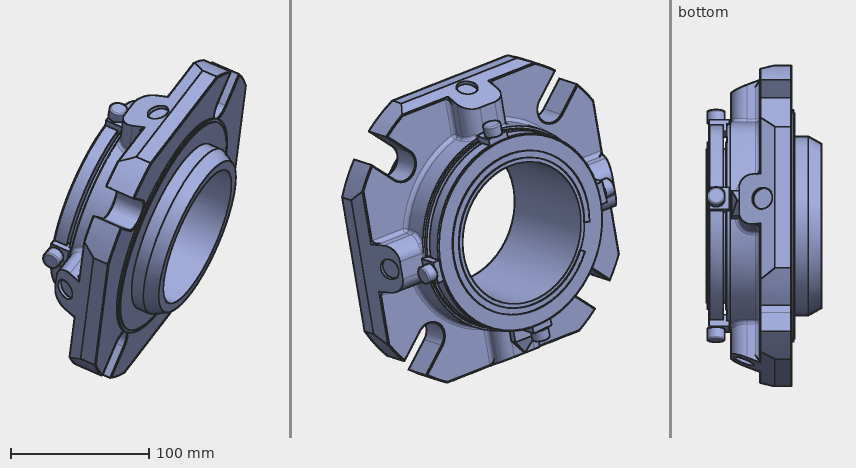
import cadquery as cq
import math

TOTAL_LENGTH = 83.5
BORE_DIAMETER = 104.8
SIDES = 4

SLEEVE_DIAMETER = 111.0
RING_CLIP_DIAMETER = 121.0
RING_CLIP_FRONT = 0.7
RING_CLIP_GAP_START = 180.0
RING_CLIP_GAP_ANGLE = 21.0

COLLAR_DIAMETER = 146.1
COLLAR_FRONT = 1.6
COLLAR_BACK = 12.3
COLLAR_CHAMFER = 1.0
CORE_DIAMETER = 112.0
COVER_DIAMETER = 147.5
COVER_FRONT = 14.9
COVER_STEP_DIAMETER = 121.0
COVER_STEP_LENGTH = 0.7

BLOCK_TILT = -15.0
BLOCK_OUTER_RADIUS = 77.8
BLOCK_INNER_RADIUS = 68.8
BLOCK_WIDTH = 16.5
BLOCK_FRONT = 2.0
BLOCK_BACK = 16.7
SCREW_DIAMETER = 13.0
SCREW_X = 7.0
SCREW_TOP_RADIUS = 85.7
SCREW_EDGE_FILLET = 1.2
SCREW_SEAT_DEPTH = 0.5

HUB_DIAMETER = 151.0
HUB_FRONT = 17.5

FLANGE_TILT = -11.0
FLANGE_FRONT = 38.5
FLANGE_BACK = 61.8
FLANGE_HALF_WIDTH = 108.3
FLANGE_CORNER_RADIUS = 120.0
SLANT_ANGLE = 21.0
SLANT_BACK = 49.5
FLANGE_EDGE_CHAMFER = 0.7

SLOT_TILT = 45.0
SLOT_WIDTH = 23.0
SLOT_CENTRE_RADIUS = 94.8

ROOT_FILLET = 3.0
EDGE_TOLERANCE = 0.05
BOSS_HALF_WIDTH = 18.4
BOSS_CORNER_RADIUS = 11.5
BOSS_FRONT = 17.7
LOW_BOSS_QUARTER = 2
FAR_PORT_QUARTERS = (0, 2)
LOW_BOSS_FRONT = 23.7
LOW_BOSS_CORNER_RADIUS = 9.3
PORT_DIAMETER = 15.5
PORT_DEPTH = 2.8
PORT_X = 27.2
FAR_PORT_X = 40.5

ARROW_FRONT = 18.4
ARROW_HALF_WIDTH = 9.3
ARROW_ROOT_RADIUS = 73.2
ARROW_SHOULDER_RADIUS = 85.7
ARROW_TIP_RADIUS = 97.5
ARROW_TIP_FRONT = 22.3

STEP_DIAMETER = 168.0
STEP_BACK = 63.2
LIP_DIAMETER = 163.5
LIP_BACK = 64.0
SPIGOT_DIAMETER = 129.9
SPIGOT_TAPER_START = 73.6
SPIGOT_END_DIAMETER = 119.0


def disc(diameter, x_start, x_end):
    """Solid cylinder about the X axis."""
    face = cq.Workplane("YZ", origin=(x_start, 0, 0))
    return face.circle(diameter / 2).extrude(x_end - x_start)


def turned(shape, tilt, quarter):
    """Copy of a feature built on the +Z side, turned about X."""
    return shape.rotate((0, 0, 0), (1, 0, 0), tilt + 360 / SIDES * quarter)


def slant_radius(x):
    """Distance from the axis of the slanted side face at the given X."""
    return FLANGE_HALF_WIDTH - (SLANT_BACK - x) * math.tan(math.radians(SLANT_ANGLE))


def outboard_rings():
    sleeve = disc(SLEEVE_DIAMETER, 0, COLLAR_FRONT)
    clip = disc(RING_CLIP_DIAMETER, RING_CLIP_FRONT, COLLAR_FRONT)
    gap_start = math.radians(RING_CLIP_GAP_START)
    gap_end = math.radians(RING_CLIP_GAP_START + RING_CLIP_GAP_ANGLE)
    gap = (
        cq.Workplane("YZ")
        .moveTo(0, 0)
        .lineTo(RING_CLIP_DIAMETER * math.cos(gap_start), RING_CLIP_DIAMETER * math.sin(gap_start))
        .lineTo(RING_CLIP_DIAMETER * math.cos(gap_end), RING_CLIP_DIAMETER * math.sin(gap_end))
        .close()
        .extrude(COLLAR_FRONT)
    )
    collar = disc(COLLAR_DIAMETER, COLLAR_FRONT, COLLAR_BACK).faces("<X").edges().chamfer(COLLAR_CHAMFER)
    core = disc(CORE_DIAMETER, COLLAR_FRONT, HUB_FRONT)
    cover = disc(COVER_DIAMETER, COVER_FRONT, HUB_FRONT)
    cover_step = disc(COVER_STEP_DIAMETER, COVER_FRONT - COVER_STEP_LENGTH, COVER_FRONT)
    return clip.cut(gap).union(sleeve).union(core).union(collar).union(cover).union(cover_step)


def setting_block():
    """Block on the +Z side that rides on the collar, reaches back to the cover and carries a screw head."""
    length = BLOCK_BACK - BLOCK_FRONT
    height = BLOCK_OUTER_RADIUS - BLOCK_INNER_RADIUS
    block = cq.Workplane("XY").box(length, BLOCK_WIDTH, height, centered=(False, True, False))
    block = block.translate((BLOCK_FRONT, 0, BLOCK_INNER_RADIUS))
    block = block.intersect(disc(2 * BLOCK_OUTER_RADIUS, 0, HUB_FRONT))
    block = block.cut(disc(COLLAR_DIAMETER - 2 * COLLAR_CHAMFER, COLLAR_FRONT, COLLAR_BACK))
    seat = BLOCK_OUTER_RADIUS - SCREW_SEAT_DEPTH
    screw = (
        cq.Workplane("XY", origin=(SCREW_X, 0, seat))
        .circle(SCREW_DIAMETER / 2)
        .extrude(SCREW_TOP_RADIUS - seat)
        .faces(">Z")
        .edges()
        .fillet(SCREW_EDGE_FILLET)
    )
    return block.union(screw)


def boss(front, corner_radius):
    """Boss on the +Z side, with round front corners and a slanted outer end."""
    flat_half = BOSS_HALF_WIDTH - corner_radius
    block = (
        cq.Workplane("XY")
        .moveTo(front, -flat_half)
        .lineTo(front, flat_half)
        .radiusArc((front + corner_radius, BOSS_HALF_WIDTH), corner_radius)
        .lineTo(SLANT_BACK, BOSS_HALF_WIDTH)
        .lineTo(SLANT_BACK, -BOSS_HALF_WIDTH)
        .lineTo(front + corner_radius, -BOSS_HALF_WIDTH)
        .radiusArc((front, -flat_half), corner_radius)
        .close()
        .extrude(FLANGE_HALF_WIDTH)
    )
    return block.cut(slant_cutter())


def bolt_slot():
    """Slot on the +Z side with a round end, open to the outside."""
    face = cq.Workplane("YZ", origin=(FLANGE_FRONT, 0, 0))
    depth = FLANGE_BACK - FLANGE_FRONT
    round_end = face.center(0, SLOT_CENTRE_RADIUS).circle(SLOT_WIDTH / 2).extrude(depth)
    straight = face.center(0, SLOT_CENTRE_RADIUS + SLOT_WIDTH).rect(SLOT_WIDTH, 2 * SLOT_WIDTH).extrude(depth)
    return round_end.union(straight)


def slant_cutter():
    """Everything outside the slanted face of the +Z side."""
    reach = 2 * FLANGE_HALF_WIDTH
    return (
        cq.Workplane("XZ", origin=(0, FLANGE_HALF_WIDTH, 0))
        .moveTo(0, slant_radius(0))
        .lineTo(SLANT_BACK, FLANGE_HALF_WIDTH)
        .lineTo(SLANT_BACK, reach)
        .lineTo(0, reach)
        .close()
        .extrude(2 * FLANGE_HALF_WIDTH)
    )


def port(x):
    """Blind port square to the slanted face of the +Z side."""
    slant = math.radians(SLANT_ANGLE)
    inward = cq.Vector(math.sin(slant), 0, -math.cos(slant))
    mouth = cq.Vector(x, 0, slant_radius(x))
    return cq.Workplane(cq.Solid.makeCylinder(PORT_DIAMETER / 2, PORT_DEPTH, mouth, inward))


def arrow():
    """Raised pointer on the -Z boss, built on the +Z side, falling away towards its tip."""
    outline = [
        (ARROW_HALF_WIDTH, ARROW_ROOT_RADIUS),
        (ARROW_HALF_WIDTH, ARROW_SHOULDER_RADIUS),
        (0, ARROW_TIP_RADIUS),
        (-ARROW_HALF_WIDTH, ARROW_SHOULDER_RADIUS),
        (-ARROW_HALF_WIDTH, ARROW_ROOT_RADIUS),
    ]
    depth = LOW_BOSS_FRONT - ARROW_FRONT
    body = cq.Workplane("YZ", origin=(ARROW_FRONT, 0, 0)).polyline(outline).close().extrude(depth)
    slope = (
        cq.Workplane("XZ", origin=(0, ARROW_HALF_WIDTH, 0))
        .moveTo(ARROW_FRONT, ARROW_SHOULDER_RADIUS)
        .lineTo(ARROW_TIP_FRONT, ARROW_TIP_RADIUS)
        .lineTo(ARROW_FRONT, ARROW_TIP_RADIUS)
        .close()
        .extrude(2 * ARROW_HALF_WIDTH)
    )
    return body.cut(slope)


def flange():
    face = cq.Workplane("YZ", origin=(FLANGE_FRONT, 0, 0))
    plate = face.rect(2 * FLANGE_HALF_WIDTH, 2 * FLANGE_HALF_WIDTH).extrude(FLANGE_BACK - FLANGE_FRONT)
    plate = plate.intersect(disc(2 * FLANGE_CORNER_RADIUS, FLANGE_FRONT, FLANGE_BACK))
    for quarter in range(SIDES):
        plate = plate.cut(turned(slant_cutter(), 0, quarter))
        plate = plate.cut(turned(bolt_slot(), SLOT_TILT, quarter))
    return plate.faces("<X or >X").edges().chamfer(FLANGE_EDGE_CHAMFER)


def is_root_edge(edge):
    """True for the inner corners between hub, bosses and flange face."""
    points = [edge.positionAt(share) for share in (0, 0.3, 0.6, 1)]
    on_hub = all(abs(math.hypot(p.y, p.z) - HUB_DIAMETER / 2) < EDGE_TOLERANCE for p in points)
    behind_hub_front = edge.Center().x > HUB_FRONT + EDGE_TOLERANCE
    on_flange_face = all(abs(p.x - FLANGE_FRONT) < EDGE_TOLERANCE for p in points)
    on_boss_side = any(
        all(abs(abs(across) - BOSS_HALF_WIDTH) < EDGE_TOLERANCE for across in side)
        for side in ([p.y for p in points], [p.z for p in points])
    )
    return (on_hub and behind_hub_front) or (on_flange_face and on_boss_side)


def gland():
    body = disc(HUB_DIAMETER, HUB_FRONT, FLANGE_BACK)
    for quarter in range(SIDES):
        is_low = quarter == LOW_BOSS_QUARTER
        front = LOW_BOSS_FRONT if is_low else BOSS_FRONT
        radius = LOW_BOSS_CORNER_RADIUS if is_low else BOSS_CORNER_RADIUS
        body = body.union(turned(boss(front, radius), 0, quarter))
    body = body.union(flange())
    root_edges = [edge for edge in body.edges().vals() if is_root_edge(edge)]
    body = body.newObject(root_edges).fillet(ROOT_FILLET)
    for quarter in range(SIDES):
        port_x = FAR_PORT_X if quarter in FAR_PORT_QUARTERS else PORT_X
        body = body.cut(turned(port(port_x), 0, quarter))
    body = body.union(turned(arrow(), 0, LOW_BOSS_QUARTER))
    return body.rotate((0, 0, 0), (1, 0, 0), FLANGE_TILT)


def spigot():
    step = disc(STEP_DIAMETER, FLANGE_BACK, STEP_BACK)
    lip = disc(LIP_DIAMETER, STEP_BACK, LIP_BACK)
    straight = disc(SPIGOT_DIAMETER, LIP_BACK, SPIGOT_TAPER_START)
    taper = (
        cq.Workplane("YZ", origin=(SPIGOT_TAPER_START, 0, 0))
        .circle(SPIGOT_DIAMETER / 2)
        .workplane(offset=TOTAL_LENGTH - SPIGOT_TAPER_START)
        .circle(SPIGOT_END_DIAMETER / 2)
        .loft()
    )
    return step.union(lip).union(straight).union(taper)


result = gland().union(outboard_rings())
for index in range(SIDES):
    result = result.union(turned(setting_block(), BLOCK_TILT, index))
result = result.union(spigot()).cut(disc(BORE_DIAMETER, 0, TOTAL_LENGTH))